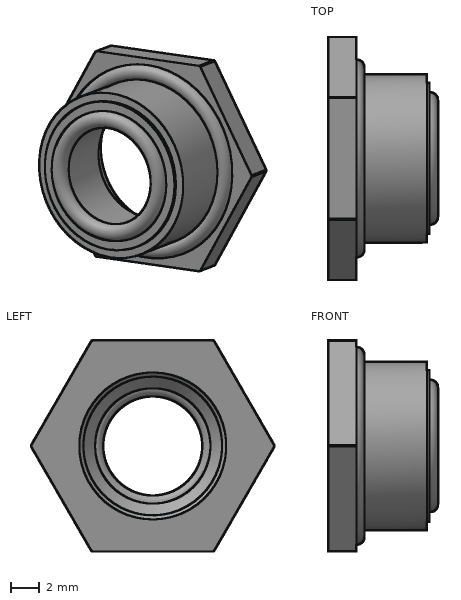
import cadquery as cq
import math

across_flats = 15.0
corner_diameter = 17.27
head_thickness = 2.0

shank_radius = 6.0
shank_end = 7.0
step_radius = 5.39
step_length = 0.2
step_end = shank_end + step_length

head_ring_outer_radius = 7.03
head_ring_tube = 0.57
end_ring_tube = 0.6
end_ring_radius = 4.11

mouth_radius = 5.22
counterbore_radius = 4.92
lead_in_round = 0.17
bore_radius = 4.1
cone_end = head_thickness
cone_start = cone_end - (counterbore_radius - bore_radius)


def cylinder(radius, start, end):
    """Solid cylinder on the X axis between two X positions."""
    return cq.Workplane("YZ").workplane(offset=start).circle(radius).extrude(end - start)


def sealing_ring(radius, tube, position):
    """Torus around the X axis; radius is measured to the tube centre."""
    torus = cq.Solid.makeTorus(radius, tube, cq.Vector(position, 0, 0), cq.Vector(1, 0, 0))
    return cq.Workplane(obj=torus)


def hex_head():
    corner_to_corner = across_flats / math.cos(math.pi / 6)
    prism = cq.Workplane("YZ").polygon(6, corner_to_corner).extrude(head_thickness)
    return prism.intersect(cylinder(corner_diameter / 2, 0, head_thickness))


def bore():
    """Chamfered counterbore that tapers into a plain through bore."""
    slope = math.pi / 4
    round_centre_radius = counterbore_radius + lead_in_round
    chamfer_end_radius = round_centre_radius - lead_in_round * math.cos(slope)
    chamfer_depth = mouth_radius - chamfer_end_radius
    round_centre_x = chamfer_depth + lead_in_round * math.sin(slope)
    round_middle = (
        round_centre_x - lead_in_round * math.sin(slope / 2),
        round_centre_radius - lead_in_round * math.cos(slope / 2),
    )
    profile = (
        cq.Workplane("XY")
        .lineTo(0, mouth_radius)
        .lineTo(chamfer_depth, chamfer_end_radius)
        .threePointArc(round_middle, (round_centre_x, counterbore_radius))
        .lineTo(cone_start, counterbore_radius)
        .lineTo(cone_end, bore_radius)
        .lineTo(step_end, bore_radius)
        .lineTo(step_end, 0)
        .close()
    )
    return profile.revolve(360, (0, 0, 0), (1, 0, 0))


body = hex_head()
body = body.union(cylinder(shank_radius, 0, shank_end))
body = body.union(cylinder(step_radius, 0, step_end))
body = body.cut(bore())

head_ring_radius = head_ring_outer_radius - head_ring_tube
body = body.union(sealing_ring(head_ring_radius, head_ring_tube, head_thickness))
result = body.union(sealing_ring(end_ring_radius, end_ring_tube, step_end))